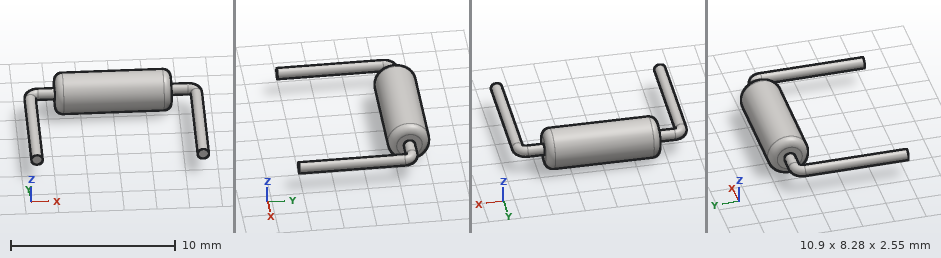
import cadquery as cq

overall_width = 10.86
overall_depth = 8.28

body_diameter = 2.55
body_length = 7.11
body_edge_radius = 0.49

lead_diameter = 0.71
bend_radius = 0.5

lead_x = (overall_width - lead_diameter) / 2
lead_tip_y = body_diameter / 2 - overall_depth


def make_body():
    """Cylinder with rounded end edges."""
    end_plane = cq.Workplane("YZ", origin=(-body_length / 2, 0, 0))
    cylinder = end_plane.circle(body_diameter / 2).extrude(body_length)
    return cylinder.edges("%CIRCLE").fillet(body_edge_radius)


def make_leads():
    """One continuous wire through the body, bent toward -Y at both ends."""
    bend_x = lead_x - bend_radius
    path = (
        cq.Workplane("XY")
        .moveTo(-lead_x, lead_tip_y)
        .lineTo(-lead_x, -bend_radius)
        .radiusArc((-bend_x, 0), bend_radius)
        .lineTo(bend_x, 0)
        .radiusArc((lead_x, -bend_radius), bend_radius)
        .lineTo(lead_x, lead_tip_y)
    )
    tip_plane = cq.Workplane("XZ", origin=(-lead_x, lead_tip_y, 0))
    return tip_plane.circle(lead_diameter / 2).sweep(path)


result = make_body().union(make_leads())